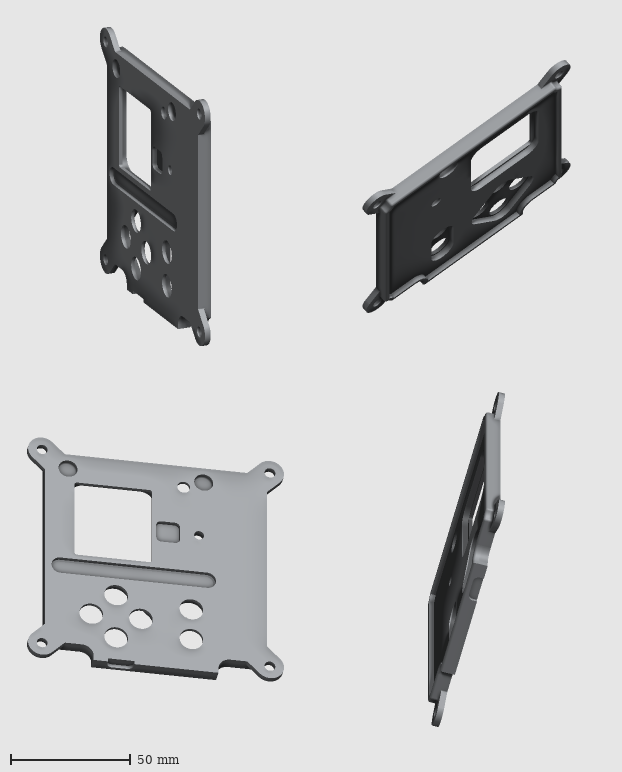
import cadquery as cq
overall_size = 109.0
body_depth = 6.3
body_size = 94.6
body_half = body_size / 2
back_edge_radius = 1.0
corner_signs = [(1, 1), (1, -1), (-1, 1), (-1, -1)]

tab_radius = 6.0
tab_thickness = 2.6
tab_hole_diameter = 4.6
tab_root_fillet = 0.5
tab_centre = overall_size / 2 - tab_radius
tab_bar_length = 19.6
screw_clearance_radius = 4.7
clearance_edge_radius = 1.1

foot_width = 53.2
foot_fillet = 5.0
connector_centre_x = -14.8
connector_width = 11.1
connector_height = 1.5
connector_depth = 4.1
connector_corner_radius = 2.4

tray_floor = 4.1
rim_width = 2.2

front_wall = 1.5

window_centre = (-18.2, 15.6)
window_width = 33.0
window_height = 36.2
window_corner_radius = 1.1
screen_pocket_margin = 1.5
screen_pocket_radius = 6.0

button_diameter = 10.0
button_pocket_margin = 0.9
button_pocket_width = button_diameter + 2 * button_pocket_margin
cross_centre = (-17.0, -31.4)
cross_pitch = 10.6
column_centre = (15.0, -31.5)
column_pitch = 14.9

large_hole_centre = (11.8, 36.8)
large_hole_diameter = 5.5
large_hole_bore = 9.8
small_hole_centre = (18.3, 13.5)
small_hole_diameter = 4.1
small_hole_bore = 5.0
small_hole_wall = 2.1

recess_depth = 2.1
square_centre = (5.1, 13.5)
square_size = 10.1
square_corner_radius = 2.2
round_centres = [(-37.5, 40.2), (20.3, 40.2)]
round_diameter = 8.1
round_floor_fillet = 0.7
groove_centre = (-9.5, -8.6)
groove_length = 70.0
groove_width = 7.6
groove_depth = 2.1
groove_floor_chamfer_width = 0.8
groove_floor_chamfer_depth = 0.3

geometry_tolerance = 0.01


def front_plane(y=0.0):
    """Sketch plane parallel to the front face at depth y, with local axes X and Z."""
    return cq.Workplane("XZ", origin=(0, y, 0))


def block(centre, width, height, y_start, y_end, angle=0):
    sketch_plane = front_plane(y_start).center(*centre).transformed(rotate=(0, 0, angle))
    return sketch_plane.rect(width, height).extrude(y_start - y_end)


def cylinder(centre, diameter, y_start, y_end):
    return front_plane(y_start).center(*centre).circle(diameter / 2).extrude(y_start - y_end)


def slot(centre, length, width, y_start, y_end, angle=0):
    return front_plane(y_start).center(*centre).slot2D(length, width, angle).extrude(y_start - y_end)


def screw_point(sign_x, sign_z):
    return (sign_x * tab_centre, sign_z * tab_centre)


def make_body_blank():
    """Square plate with scooped corners and a foot, before the back is worked."""
    blank = block((0, 0), body_size, body_size, 0, body_depth)
    for signs in corner_signs:
        blank = blank.cut(cylinder(screw_point(*signs), 2 * screw_clearance_radius, 0, body_depth))
    blank = blank.edges("|Y").fillet(clearance_edge_radius)

    foot_height = overall_size / 2
    blank = blank.union(block((0, -foot_height / 2), foot_width, foot_height, 0, body_depth))
    foot_roots = cq.selectors.BoxSelector(
        (-foot_width / 2 - 1.1, -1.1, -body_half - 1.1),
        (foot_width / 2 + 1.1, body_depth + 1.1, -body_half + 1.1),
    )
    return blank.edges("|Y").edges(foot_roots).fillet(foot_fillet)


def make_body():
    """Round the back edge of the blank and sink a tray inside an even rim."""
    blank = make_body_blank()
    tray = (
        blank.faces(">Y")
        .wires()
        .toPending()
        .workplane()
        .offset2D(-rim_width)
        .extrude(tray_floor - body_depth, combine=False)
    )
    return blank.faces(">Y").edges().fillet(back_edge_radius).cut(tray)


def make_tab(sign_x, sign_z):
    """Bar with a round end, running diagonally inward from a screw point."""
    bar_middle = tab_centre - tab_bar_length / 2 / 2**0.5
    end = cylinder(screw_point(sign_x, sign_z), 2 * tab_radius, 0, tab_thickness)
    bar = block(
        (sign_x * bar_middle, sign_z * bar_middle),
        tab_bar_length,
        2 * tab_radius,
        0,
        tab_thickness,
        45 * sign_x * sign_z,
    )
    return end.union(bar)


def is_tab_root(edge):
    """True for the inside edges where a tab meets the side walls of the body."""
    box = edge.BoundingBox()
    middle = edge.Center()
    reach = max(abs(middle.x), abs(middle.z))
    if abs(box.ymax - tab_thickness) > geometry_tolerance:
        return False
    if box.ylen < geometry_tolerance:
        return reach < body_half + geometry_tolerance
    return abs(reach - body_half) < geometry_tolerance


def add_tabs(part):
    for signs in corner_signs:
        part = part.union(make_tab(*signs))
    tab_roots = [edge for edge in part.edges().vals() if is_tab_root(edge)]
    part = part.newObject(tab_roots).fillet(tab_root_fillet)
    for signs in corner_signs:
        part = part.cut(cylinder(screw_point(*signs), tab_hole_diameter, 0, body_depth))
    return part


def cut_window(part):
    opening = block(window_centre, window_width, window_height, 0, body_depth)
    pocket = block(
        window_centre,
        window_width + 2 * screen_pocket_margin,
        window_height + 2 * screen_pocket_margin,
        front_wall,
        body_depth,
    )
    part = part.cut(opening.edges("|Y").fillet(window_corner_radius))
    return part.cut(pocket.edges("|Y").fillet(screen_pocket_radius))


def cut_button_cross(part):
    centre_x, centre_z = cross_centre
    for step_x, step_z in [(1, 0), (-1, 0), (0, 1), (0, -1)]:
        point = (centre_x + step_x * cross_pitch, centre_z + step_z * cross_pitch)
        part = part.cut(cylinder(point, button_diameter, 0, body_depth))
    diamond_side = cross_pitch * 2**0.5 + button_pocket_width
    diamond = block(cross_centre, diamond_side, diamond_side, front_wall, body_depth, 45)
    return part.cut(diamond.edges("|Y").fillet(button_pocket_width / 2))


def cut_button_column(part):
    centre_x, centre_z = column_centre
    for step_z in (0.5, -0.5):
        point = (centre_x, centre_z + step_z * column_pitch)
        part = part.cut(cylinder(point, button_diameter, 0, body_depth))
    pocket_length = column_pitch + button_pocket_width
    return part.cut(
        slot(column_centre, pocket_length, button_pocket_width, front_wall, body_depth, 90)
    )


def cut_bored_hole(part, centre, diameter, bore_diameter, wall):
    part = part.cut(cylinder(centre, diameter, 0, body_depth))
    return part.cut(cylinder(centre, bore_diameter, wall, body_depth))


def cut_recesses(part):
    square = block(square_centre, square_size, square_size, 0, recess_depth)
    part = part.cut(square.edges("|Y").fillet(square_corner_radius))
    for centre in round_centres:
        recess = cylinder(centre, round_diameter, 0, recess_depth)
        part = part.cut(recess.faces(">Y").edges().fillet(round_floor_fillet))
    return part


def cut_groove(part):
    """Long groove whose floor meets its walls in a shallow, wide chamfer."""
    outline = slot(groove_centre, groove_length, groove_width, 0, groove_depth)
    groove = outline.faces(">Y").chamfer(groove_floor_chamfer_depth, groove_floor_chamfer_width)
    return part.cut(groove)


def cut_connector_notch(part):
    notch = (
        cq.Workplane("XY", origin=(connector_centre_x, 0, -overall_size / 2))
        .rect(connector_width, 2 * connector_depth)
        .extrude(connector_height)
        .edges("|Z and >Y")
        .fillet(connector_corner_radius)
    )
    return part.cut(notch)


result = add_tabs(make_body())
result = cut_window(result)
result = cut_button_cross(result)
result = cut_button_column(result)
result = cut_bored_hole(result, large_hole_centre, large_hole_diameter, large_hole_bore, front_wall)
result = cut_bored_hole(result, small_hole_centre, small_hole_diameter, small_hole_bore, small_hole_wall)
result = cut_recesses(result)
result = cut_groove(result)
result = cut_connector_notch(result)
result = cq.Workplane(result.solids().val())